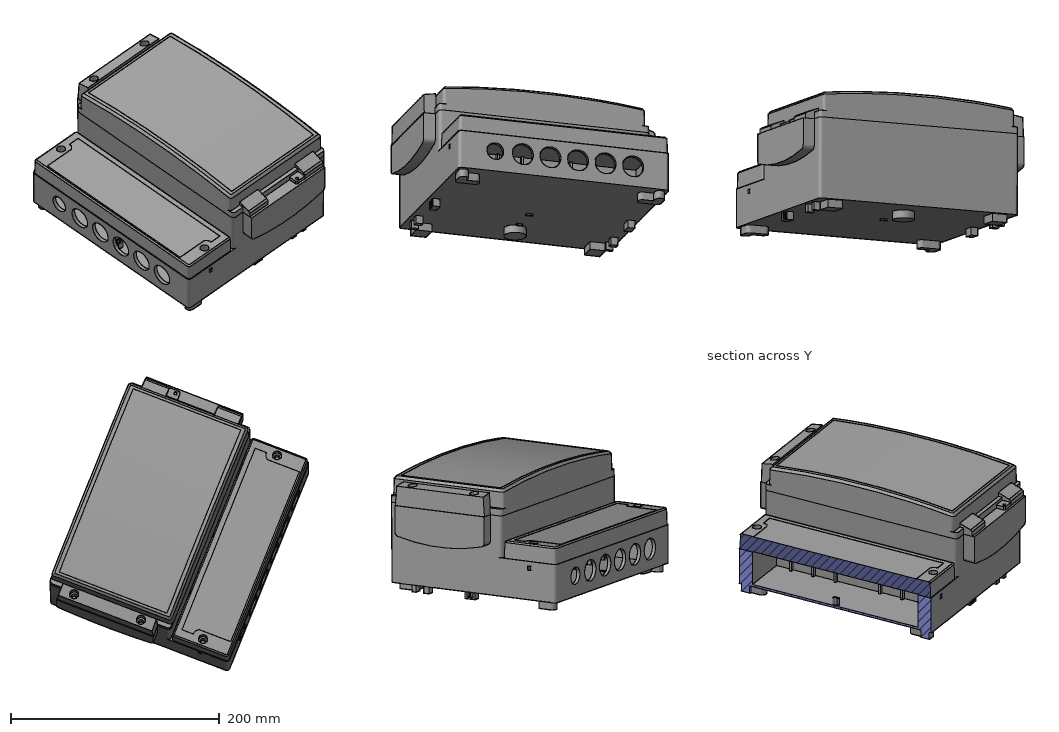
import cadquery as cq


foot_height = 7.8
ledge_z = 45.5
split_z = 86.5
shoulder_z = 93.0
dome_edge_z = 111.2
crown_z = 117.3

half_width = 106.0
main_front_y = 60.0
rear_top_y = 185.0
rear_bottom_y = 184.2
corner_radius = 3.3

ear_front_y = 73.0
ear_rear_y = 172.5
ear_mid_y = (ear_front_y + ear_rear_y) / 2
ear_reach = 117.8
ear_side_z = 57.5
ear_belly_z = 51.1
ear_corner_radius = 4.2

entry_pitch = 27.8
entry_count = 6
entry_z = 28.0
entry_dia = 21.0
small_entry_dia = 16.7
front_wall = 3.5
compartment_half_width = 91.0
compartment_rear_y = 56.5
compartment_floor_z = 10.5
rib_pitch = 24.5
ribs_per_side = 3
rib_thickness = 2.1
rib_depth = 3.5
post_size = 5.7
post_y = 10.8
post_top_z = 18.4
post_hole_dia = 3.3

notch_y = 30.0
notch_width = 3.3
notch_bottom_z = 36.8
notch_height = 4.0
notch_depth = 2.4

foot_outer_x = 103.7
foot_inner_x = 79.9
front_foot_front_y = 3.5
front_foot_rear_y = 22.1
foot_arm_width = 9.5
foot_end_radius = 4.5
rear_foot_outer_x = 95.5
rear_foot_front_y = 162.8
rear_foot_rear_y = 180.5
pad_outer_x = 101.8
pad_width = 7.0
rear_pad_spans = [(144.2, 150.0), (158.5, 162.8)]
clip_front_y = 92.8
clip_rear_y = 104.1
clip_wall = 2.4
clip_recess_depth = 4.7
clip_floor = 1.6
clip_rib_thickness = 2.0
round_foot_dia = 21.5
round_foot_y = 150.0
nib_width = 6.5
nib_length = 2.8
nib_height = 1.5
nib_y = (107.0, 136.6)

dome_half_width = 101.8
dome_front_top_y = 61.3
dome_rear_top_y = 183.8
dome_corner_radius = 2.8
dome_chamfer = 2.4
dome_label_half_width = 96.8
dome_label_front_y = 67.1
dome_label_rear_y = 177.9
label_depth = 0.2

screw_ear_inner_x = 105.0
screw_ear_outer_x = 117.0
screw_ear_inner_z = 107.7
screw_ear_outer_z = 105.5
screw_ear_end_inset = 1.6
ear_screw_x = -110.7
ear_screw_y = (88.4, 157.1)

lug_length = 24.7
lug_outer_x = 115.5
lug_bevel_x = 113.5
lug_inner_z = 97.0
lug_bevel_z = 92.8
lug_side_z = 91.2
tab_length = 11.3
tab_rear_y = ear_rear_y - lug_length
tab_height = 3.5
tab_corner = 1.5
tab_hole_x = 112.4
tab_hole_y = 140.5
tab_hole_dia = 2.8

terminal_half_width = 105.3
terminal_front_y = 0.7
terminal_rear_y = 59.1
terminal_top_z = 62.2
terminal_draft = 2.0
terminal_corner_radius = 3.0
terminal_chamfer = 1.5
terminal_screw_x = 97.0
terminal_screw_y = 30.0
terminal_label_half_width = 96.0
terminal_label_waist = 89.8
terminal_label_front_y = 4.2
terminal_label_rear_y = 52.0
terminal_label_step_y = 40.3
terminal_label_waist_y = 36.5

screw_head_dia = 8.5
screw_shank_dia = 5.0
screw_head_depth = 8.2


def block(x0, x1, y0, y1, z0, z1):
    """Box between two corners given in any order."""
    return (
        cq.Workplane("XY")
        .box(abs(x1 - x0), abs(y1 - y0), abs(z1 - z0))
        .translate(((x0 + x1) / 2, (y0 + y1) / 2, (z0 + z1) / 2))
    )


def cylinder(x, y, z0, z1, diameter):
    """Upright cylinder."""
    return cq.Workplane("XY", origin=(x, y, z0)).circle(diameter / 2).extrude(z1 - z0)


def screw_hole(x, y, top_z, bottom_z):
    """Counterbored through hole, as a cutter."""
    head = cylinder(x, y, top_z - screw_head_depth, crown_z, screw_head_dia)
    return head.union(cylinder(x, y, bottom_z, crown_z, screw_shank_dia))


def is_upright(edge):
    """True for vertical or slightly drafted edges."""
    box = edge.BoundingBox()
    return box.zlen > 5 * max(box.xlen, box.ylen)


def housing_shell():
    """Stepped block with rounded corners and a leaning rear face."""
    return (
        cq.Workplane("YZ")
        .moveTo(0, foot_height)
        .lineTo(rear_bottom_y, foot_height)
        .lineTo(rear_top_y, split_z)
        .lineTo(main_front_y, split_z)
        .lineTo(main_front_y, ledge_z)
        .lineTo(0, ledge_z)
        .close()
        .extrude(half_width, both=True)
        .edges()
        .filter(is_upright)
        .fillet(corner_radius)
    )


def housing_ears():
    """Ears on both sides, with a bowed underside."""
    return (
        cq.Workplane("YZ")
        .moveTo(ear_front_y, split_z)
        .lineTo(ear_front_y, ear_side_z)
        .threePointArc((ear_mid_y, ear_belly_z), (ear_rear_y, ear_side_z))
        .lineTo(ear_rear_y, split_z)
        .close()
        .extrude(ear_reach, both=True)
        .edges("|X")
        .edges("<Z")
        .fillet(ear_corner_radius)
    )


def terminal_compartment():
    """Cavity open at the ledge, with ribs on its rear wall and a screw post on its floor."""
    cavity = block(
        -compartment_half_width, compartment_half_width,
        front_wall, compartment_rear_y,
        compartment_floor_z, ledge_z,
    )
    for side in (-1, 1):
        for index in range(ribs_per_side):
            rib_x = side * (index + 1) * rib_pitch
            cavity = cavity.cut(block(
                rib_x - rib_thickness / 2, rib_x + rib_thickness / 2,
                compartment_rear_y - rib_depth, compartment_rear_y,
                compartment_floor_z, ledge_z,
            ))
    post = block(
        -post_size / 2, post_size / 2,
        post_y - post_size / 2, post_y + post_size / 2,
        compartment_floor_z, post_top_z,
    ).cut(cylinder(0, post_y, compartment_floor_z, post_top_z, post_hole_dia))
    return cavity.cut(post)


def cable_entries():
    """Row of round holes through the front wall; the first one is smaller."""
    holes = cq.Workplane("XZ")
    for index in range(entry_count):
        x = (index - (entry_count - 1) / 2) * entry_pitch
        diameter = small_entry_dia if index == 0 else entry_dia
        hole = (
            cq.Workplane("XZ")
            .center(x, entry_z)
            .circle(diameter / 2)
            .extrude(-front_wall)
        )
        holes = holes.add(hole)
    return holes.combine()


def side_notch(side):
    """Small pocket in a side wall, as a cutter."""
    return block(
        side * half_width, side * (half_width - notch_depth),
        notch_y - notch_width / 2, notch_y + notch_width / 2,
        notch_bottom_z, notch_bottom_z + notch_height,
    )


def rounded_bar(x0, x1, y0, y1):
    """Foot arm with rounded ends."""
    bar = block(x0, x1, y0, y1, 0, foot_height)
    return bar.edges("|Z").fillet(foot_end_radius)


def side_feet(side):
    """L-shaped front foot, rear foot, rear edge pads and clip on one side."""
    long_arm = rounded_bar(
        side * foot_outer_x, side * (foot_outer_x - foot_arm_width), front_foot_front_y, front_foot_rear_y,
    )
    cross_arm = rounded_bar(
        side * foot_outer_x, side * foot_inner_x, front_foot_rear_y - foot_arm_width, front_foot_rear_y,
    )
    front_foot = long_arm.union(cross_arm)
    rear_foot = block(
        side * rear_foot_outer_x, side * foot_inner_x,
        rear_foot_front_y, rear_foot_rear_y, 0, foot_height,
    )
    feet = front_foot.union(rear_foot)
    pad_inner_x = side * (pad_outer_x - pad_width)
    for front_y, rear_y in rear_pad_spans:
        feet = feet.union(block(side * pad_outer_x, pad_inner_x, front_y, rear_y, 0, foot_height))
    clip = block(side * pad_outer_x, pad_inner_x, clip_front_y, clip_rear_y, 0, foot_height)
    clip_recess = block(
        side * pad_outer_x, side * (pad_outer_x - clip_recess_depth),
        clip_front_y + clip_wall, clip_rear_y - clip_wall,
        clip_floor, foot_height,
    )
    clip_mid_y = (clip_front_y + clip_rear_y) / 2
    clip_rib = block(
        side * pad_outer_x, pad_inner_x,
        clip_mid_y - clip_rib_thickness / 2, clip_mid_y + clip_rib_thickness / 2,
        0, foot_height,
    )
    return feet.union(clip.cut(clip_recess)).union(clip_rib)


def underside_nib(y):
    """Low nib under the floor, on the plane of symmetry."""
    return block(
        -nib_width / 2, nib_width / 2,
        y - nib_length / 2, y + nib_length / 2,
        foot_height - nib_height, foot_height,
    )


def hinge_tab():
    """Drilled tab on the right ear, standing between the lugs of the main cover."""
    tab = (
        block(
            half_width, lug_outer_x,
            tab_rear_y - tab_length, tab_rear_y,
            split_z, split_z + tab_height,
        )
        .edges("|Z and >X")
        .edges("<Y")
        .chamfer(tab_corner)
    )
    return tab.cut(cylinder(tab_hole_x, tab_hole_y, split_z, split_z + tab_height, tab_hole_dia))


def make_housing():
    housing = housing_shell().union(housing_ears())
    housing = housing.cut(terminal_compartment()).cut(cable_entries())
    for side in (-1, 1):
        housing = housing.cut(side_notch(side)).union(side_feet(side))
    housing = housing.union(cylinder(0, round_foot_y, 0, foot_height, round_foot_dia))
    for y in nib_y:
        housing = housing.union(underside_nib(y))
    return housing.union(hinge_tab())


def dome_arch(drop):
    """Section of the dome across X, lowered by drop."""
    return (
        cq.Workplane("XZ")
        .moveTo(-dome_half_width, split_z)
        .lineTo(-dome_half_width, dome_edge_z - drop)
        .threePointArc((0, crown_z - drop), (dome_half_width, dome_edge_z - drop))
        .lineTo(dome_half_width, split_z)
        .close()
    )


def cover_draft():
    """Envelope with leaning front and rear faces that bounds the skirt and the dome."""
    return (
        cq.Workplane("YZ")
        .moveTo(main_front_y, split_z)
        .lineTo(rear_top_y, split_z)
        .lineTo(dome_rear_top_y, crown_z)
        .lineTo(dome_front_top_y, crown_z)
        .close()
        .extrude(half_width, both=True)
    )


def cover_skirt():
    """Full-width band between the joint and the shoulder."""
    band = block(-half_width, half_width, 0, rear_top_y, split_z, shoulder_z)
    return band.intersect(cover_draft()).edges().filter(is_upright).fillet(corner_radius)


def cover_dome():
    """Arched block with drafted front and rear faces and a bevelled rim."""
    arch = dome_arch(0).extrude(-rear_top_y)
    return (
        arch.intersect(cover_draft())
        .edges()
        .filter(is_upright)
        .fillet(dome_corner_radius)
        .faces(">Z")
        .edges()
        .chamfer(dome_chamfer)
    )


def dome_label():
    """Shallow label recess that follows the dome."""
    window = block(
        -dome_label_half_width, dome_label_half_width,
        dome_label_front_y, dome_label_rear_y, shoulder_z, crown_z,
    )
    below = dome_arch(label_depth).extrude(-rear_top_y)
    return window.cut(below)


def screw_ear():
    """Left ear with a sloping top and leaning end faces."""
    section = (
        cq.Workplane("XZ", origin=(0, ear_front_y, 0))
        .moveTo(-screw_ear_inner_x, split_z)
        .lineTo(-screw_ear_inner_x, screw_ear_inner_z)
        .lineTo(-screw_ear_outer_x, screw_ear_outer_z)
        .lineTo(-screw_ear_outer_x, split_z)
        .close()
        .extrude(ear_front_y - ear_rear_y)
    )
    lean = (
        cq.Workplane("YZ")
        .moveTo(ear_front_y, split_z)
        .lineTo(ear_rear_y, split_z)
        .lineTo(ear_rear_y - screw_ear_end_inset, screw_ear_inner_z)
        .lineTo(ear_front_y + screw_ear_end_inset, screw_ear_inner_z)
        .close()
        .extrude(-ear_reach)
    )
    return section.intersect(lean)


def hinge_lug(front_y):
    """Right-hand lug with a sloping, bevelled top."""
    return (
        cq.Workplane("XZ", origin=(0, front_y, 0))
        .moveTo(dome_half_width, split_z)
        .lineTo(dome_half_width, lug_inner_z)
        .lineTo(lug_bevel_x, lug_bevel_z)
        .lineTo(lug_outer_x, lug_side_z)
        .lineTo(lug_outer_x, split_z)
        .close()
        .extrude(-lug_length)
    )


def make_main_cover():
    cover = cover_skirt().union(cover_dome()).cut(dome_label()).union(screw_ear())
    for front_y in (ear_front_y, ear_rear_y - lug_length):
        cover = cover.union(hinge_lug(front_y))
    for screw_y in ear_screw_y:
        cover = cover.cut(screw_hole(ear_screw_x, screw_y, screw_ear_outer_z, split_z))
    return cover


def terminal_label():
    """Shallow label recess, narrowed beside the screws by rounded steps."""
    half_outline = (
        cq.Workplane("XY", origin=(0, 0, terminal_top_z - label_depth))
        .moveTo(0, terminal_label_front_y)
        .lineTo(terminal_label_waist, terminal_label_front_y)
        .lineTo(terminal_label_waist, terminal_label_waist_y)
        .radiusArc(
            (terminal_label_half_width, terminal_label_step_y),
            terminal_label_half_width - terminal_label_waist,
        )
        .lineTo(terminal_label_half_width, terminal_label_rear_y)
        .lineTo(0, terminal_label_rear_y)
        .close()
        .extrude(label_depth)
    )
    return half_outline.union(half_outline.mirror("YZ"))


def make_terminal_cover():
    depth = terminal_rear_y - terminal_front_y
    cover = (
        cq.Workplane("XY", origin=(0, terminal_front_y + depth / 2, ledge_z))
        .sketch()
        .rect(2 * terminal_half_width, depth)
        .vertices()
        .fillet(terminal_corner_radius)
        .finalize()
        .extrude(terminal_top_z - ledge_z, taper=terminal_draft)
        .faces(">Z")
        .edges()
        .chamfer(terminal_chamfer)
    )
    cover = cover.cut(terminal_label())
    for side in (-1, 1):
        cover = cover.cut(screw_hole(side * terminal_screw_x, terminal_screw_y, terminal_top_z, ledge_z))
    return cover


housing = make_housing()
main_cover = make_main_cover()
terminal_cover = make_terminal_cover()

result = cq.Compound.makeCompound([housing.val(), main_cover.val(), terminal_cover.val()])